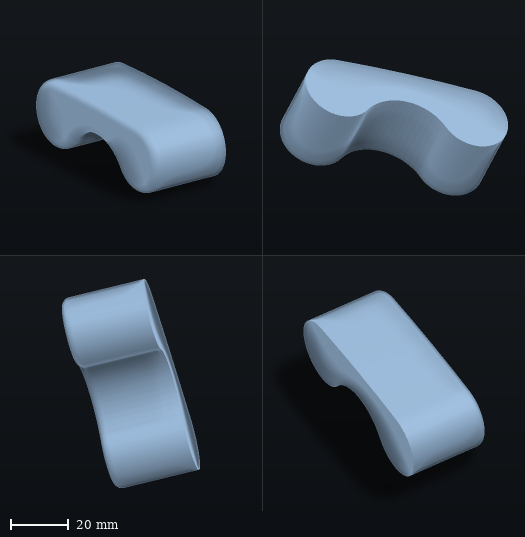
import cadquery as cq
import math

length = 74.5
depth = 30.0
height = 25.7
lobe_radius = 12.5
arch_rise = 0.5
edge_fillet = 3.0

lobe_x = length / 2 - lobe_radius
crown_z = height - lobe_radius

crown_radius = (lobe_x**2 + crown_z**2 - lobe_radius**2) / (2 * (crown_z - lobe_radius))
crown_center_z = crown_z - crown_radius

arch_radius = (lobe_x**2 + arch_rise**2 - lobe_radius**2) / (2 * (lobe_radius + arch_rise))
arch_center_z = arch_rise - arch_radius


def lobe_point(side, direction_x, direction_z):
    """Point on a lobe in the given direction, with positive direction_x pointing outward."""
    scale = lobe_radius / math.hypot(direction_x, direction_z)
    return side * (lobe_x + direction_x * scale), direction_z * scale


def crown_tangent(side):
    return lobe_point(side, lobe_x, -crown_center_z)


def arch_tangent(side):
    return lobe_point(side, -lobe_x, arch_center_z)


outline = (
    cq.Workplane("XZ")
    .moveTo(*crown_tangent(-1))
    .threePointArc((0, crown_z), crown_tangent(1))
    .threePointArc((length / 2, 0), arch_tangent(1))
    .threePointArc((0, arch_rise), arch_tangent(-1))
    .threePointArc((-length / 2, 0), crown_tangent(-1))
    .close()
)

body = outline.extrude(depth)
result = body.faces("<Y").edges().fillet(edge_fillet)